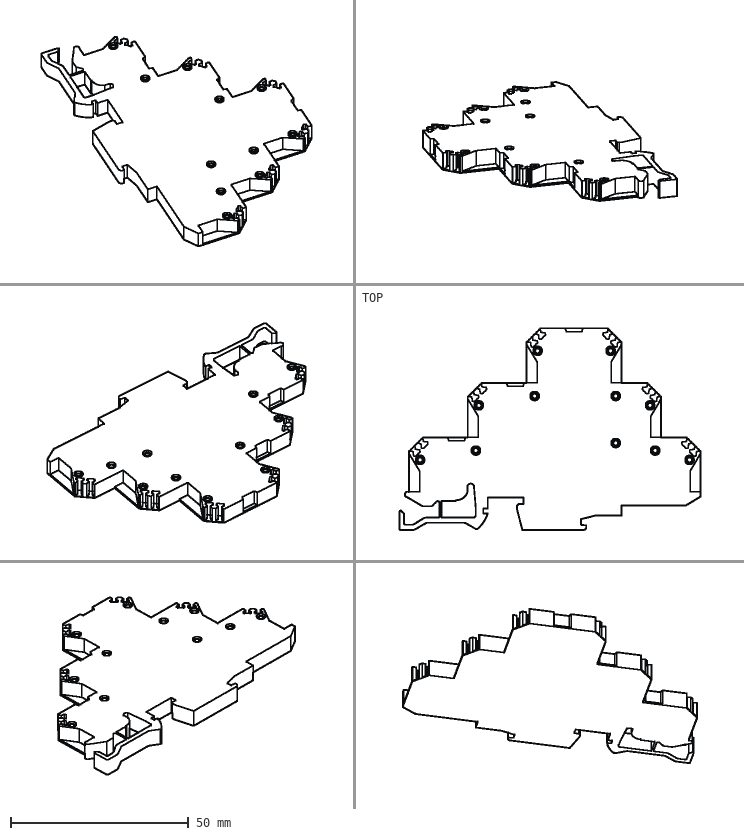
import cadquery as cq

length = 84.8
height = 56.8
thickness = 5.1
floor_z = 0.5
recess_depth = thickness - floor_z

tier_count = 3
tier_rise = 15.35
tier_step_left = 16.5
tier_step_right = 11.1
bottom_tier_left = 2.7
corner_chamfer = 4.0


def tier_left(tier):
    return bottom_tier_left + tier * tier_step_left


def tier_right(tier):
    return length - tier * tier_step_right


def tier_top(tier):
    return height - (tier_count - 1 - tier) * tier_rise


def polygon_prism(points, bottom, depth):
    return cq.Workplane("XY").workplane(offset=bottom).polyline(points).close().extrude(depth)


hook_tip_height = 5.6
hook_inner = 1.35
hook_floor = 1.5
hook_bottom = 2.0
web_bottom = 3.6
lower_toe_bend = (4.15, 0)
lower_arm_bend = (7.6, hook_bottom)
lower_heel_bend = (18.6, hook_bottom)
upper_toe_bend = (3.9, hook_floor)
upper_arm_bend = (7.1, web_bottom)
heel_bottom = 0.25

slot_left = 24.9
slot_right = 34.9
rail_top = 9.2
groove_x = 23.7
groove_bottom = 4.75
groove_top = 6.0
foot_lip_x = 33.1
foot_lip_top = 7.4
foot_lip_chamfer = 0.5

toe_x = 52.7
toe_top = 1.35
toe_groove_x = 51.1
foot_step_x = tier_right(tier_count - 1)
foot_step_y = 4.1
base_y = 6.9
base_chamfer_length = 4.2
base_chamfer_rise = 2.55

nose_y = tier_top(0) - tier_rise
nose_tip = (1.5, 10.1)
nose_bottom = (2.2, 9.25)
chin_y = 6.7
gap_right = 11.3
gap_top = 8.1


def draw_hook_underside(path):
    return (
        path.lineTo(*lower_toe_bend)
        .lineTo(*lower_arm_bend)
        .lineTo(*lower_heel_bend)
        .lineTo(21.5, heel_bottom)
        .lineTo(22.0, heel_bottom)
        .threePointArc((23.7, 2.1), (slot_left, groove_bottom))
    )


def draw_rail_slot(path):
    return (
        path.lineTo(groove_x, groove_bottom)
        .lineTo(groove_x, groove_top)
        .lineTo(slot_left, groove_top)
        .lineTo(slot_left, rail_top)
        .lineTo(slot_right, rail_top)
        .lineTo(slot_right, foot_lip_top)
        .lineTo(foot_lip_x + foot_lip_chamfer, foot_lip_top)
        .lineTo(foot_lip_x, foot_lip_top - foot_lip_chamfer)
        .lineTo(foot_lip_x, 5.9)
        .lineTo(34.6, 0)
    )


def draw_foot_and_base(path):
    return (
        path.lineTo(toe_x, 0)
        .lineTo(toe_x, toe_top)
        .lineTo(toe_groove_x, 1.5)
        .lineTo(toe_groove_x, 3.05)
        .lineTo(55.2, foot_step_y)
        .lineTo(foot_step_x, foot_step_y)
        .lineTo(foot_step_x, base_y)
        .lineTo(length - base_chamfer_length, base_y)
        .lineTo(length, base_y + base_chamfer_rise)
    )


def draw_tiers(path):
    """Up the right-hand steps and down the left-hand ones."""
    for tier in range(tier_count):
        if tier > 0:
            path = path.lineTo(tier_right(tier), tier_top(tier - 1))
        path = path.lineTo(tier_right(tier), tier_top(tier) - corner_chamfer)
        path = path.lineTo(tier_right(tier) - corner_chamfer, tier_top(tier))
    for tier in reversed(range(tier_count)):
        path = path.lineTo(tier_left(tier) + corner_chamfer, tier_top(tier))
        path = path.lineTo(tier_left(tier), tier_top(tier) - corner_chamfer)
        if tier > 0:
            path = path.lineTo(tier_left(tier), tier_top(tier - 1))
    return path


def draw_nose_and_gap(path):
    return (
        path.lineTo(bottom_tier_left, nose_y)
        .threePointArc(nose_tip, nose_bottom)
        .lineTo(6.5, chin_y)
        .lineTo(9.2, chin_y)
        .lineTo(10.4, gap_top - 0.2)
        .threePointArc((10.85, gap_top), (gap_right, gap_top - 0.4))
        .lineTo(gap_right, web_bottom)
        .lineTo(*upper_arm_bend)
        .lineTo(*upper_toe_bend)
        .lineTo(hook_inner, hook_floor)
        .lineTo(hook_inner, 4.7)
        .lineTo(0.3, hook_tip_height)
        .lineTo(0, hook_tip_height - 0.4)
    )


outline = cq.Workplane("XY").moveTo(0, 0)
outline = draw_hook_underside(outline)
outline = draw_rail_slot(outline)
outline = draw_foot_and_base(outline)
outline = draw_tiers(outline)
outline = draw_nose_and_gap(outline)
body = outline.close().extrude(thickness)

rounded_bends = [
    ((0, 0), 0.4),
    (lower_toe_bend, 1.7),
    (lower_arm_bend, 0.85),
    (lower_heel_bend, 1.7),
    ((gap_right, web_bottom), 0.3),
    (upper_arm_bend, 1.7),
    (upper_toe_bend, 1.7),
    ((hook_inner, hook_floor), 0.4),
    ((toe_x, 0), 0.9),
]
for (x, y), radius in rounded_bends:
    corner = cq.selectors.NearestToPointSelector((x, y, thickness / 2))
    body = body.edges("|Z").edges(corner).fillet(radius)

window_left = 11.9
window_right = 21.45
window_roof = 8.1
curve_start = (15.9, 8.4)
finger_left = 19.25
finger_right = 20.95
finger_shoulder = 12.55
finger_top = 13.1
window = (
    cq.Workplane("XY")
    .moveTo(window_left, web_bottom)
    .lineTo(window_right - 0.5, web_bottom)
    .threePointArc((21.3, 3.7), (window_right, web_bottom + 0.5))
    .lineTo(window_right, 6.5)
    .lineTo(finger_right, finger_shoulder)
    .threePointArc(((finger_left + finger_right) / 2, finger_top), (finger_left, finger_shoulder))
    .lineTo(finger_left, 10.85)
    .threePointArc((18.15, 9.2), curve_start)
    .lineTo(curve_start[0], window_roof)
    .lineTo(window_left, window_roof)
    .close()
    .extrude(thickness)
)
body = body.cut(window)

entry_inset = 3.0
entry_edge_drop = 4.5
entry_bend_drop = 9.5


def wire_recess(side_x, inward, top):
    inner_x = side_x + inward * entry_inset
    points = [
        (side_x, top - entry_edge_drop),
        (inner_x, top - entry_bend_drop),
        (inner_x, top - tier_rise),
        (side_x, top - tier_rise),
    ]
    return polygon_prism(points, floor_z, recess_depth)


slot_pitch = 3.1
slot_mouth = 2.1
slot_neck = 0.9
slot_neck_depth = 0.85
slot_belly = 2.4
slot_belly_depth = 1.8
slot_end = 1.8
slot_depth = 2.3
mouth_floor_z = 0.25


def marker_slot():
    """One slot cut toward +X from a chamfer lying on the YZ plane."""
    mouth_side = (
        cq.Workplane("XZ")
        .polyline([
            (0, mouth_floor_z),
            (slot_neck_depth, floor_z),
            (slot_neck_depth, thickness),
            (0, thickness),
        ])
        .close()
        .extrude(slot_mouth / 2, both=True)
    )
    mouth_plan = polygon_prism(
        [
            (0, -slot_mouth / 2),
            (slot_neck_depth, -slot_neck / 2),
            (slot_neck_depth, slot_neck / 2),
            (0, slot_mouth / 2),
        ],
        0,
        thickness,
    )
    pocket = polygon_prism(
        [
            (slot_neck_depth, -slot_neck / 2),
            (slot_belly_depth, -slot_belly / 2),
            (slot_depth, -slot_end / 2),
            (slot_depth, slot_end / 2),
            (slot_belly_depth, slot_belly / 2),
            (slot_neck_depth, slot_neck / 2),
        ],
        floor_z,
        recess_depth,
    )
    return mouth_side.intersect(mouth_plan).union(pocket)


def corner_slots(side_x, inward, top):
    middle = (side_x + inward * corner_chamfer / 2, top - corner_chamfer / 2, 0)
    turn = -45 if inward > 0 else -135
    pair = marker_slot().translate((0, slot_pitch / 2, 0))
    pair = pair.union(marker_slot().translate((0, -slot_pitch / 2, 0)))
    return pair.rotate((0, 0, 0), (0, 0, 1), turn).translate(middle)


notch_offset = 13.4
notch_mouth = 5.0
notch_root = 4.3
notch_depth = 1.0


def label_notch(tier):
    centre = tier_left(tier) + notch_offset
    top = tier_top(tier)
    points = [
        (centre - notch_mouth / 2, top),
        (centre - notch_root / 2, top - notch_depth),
        (centre + notch_root / 2, top - notch_depth),
        (centre + notch_mouth / 2, top),
    ]
    return polygon_prism(points, floor_z, recess_depth)


for tier in range(tier_count):
    top = tier_top(tier)
    for side_x, inward in ((tier_left(tier), 1), (tier_right(tier), -1)):
        body = body.cut(wire_recess(side_x, inward, top))
        body = body.cut(corner_slots(side_x, inward, top))
    body = body.cut(label_notch(tier))

hole_diameter = 1.35
lead_in_diameter = 2.55
seat_diameter = 1.9
lead_in_depth = 0.4
hole_depth = 1.3

side_hole_inset = 3.1
side_hole_drop = 6.4
inner_hole_left_inset = 18.8
inner_hole_right_inset = 12.8
inner_hole_drop = 3.7
lower_hole_y = 24.5

hole_centres = [(tier_right(1) - inner_hole_right_inset, lower_hole_y)]
for tier in range(tier_count):
    side_hole_y = tier_top(tier) - side_hole_drop
    hole_centres.append((tier_left(tier) + side_hole_inset, side_hole_y))
    hole_centres.append((tier_right(tier) - side_hole_inset, side_hole_y))
for tier in range(tier_count - 1):
    inner_hole_y = tier_top(tier) - inner_hole_drop
    hole_centres.append((tier_left(tier) + inner_hole_left_inset, inner_hole_y))
    hole_centres.append((tier_right(tier) - inner_hole_right_inset, inner_hole_y))

screw_hole = (
    cq.Workplane("XZ")
    .polyline([
        (0, thickness),
        (lead_in_diameter / 2, thickness),
        (seat_diameter / 2, thickness - lead_in_depth),
        (hole_diameter / 2, thickness - lead_in_depth),
        (hole_diameter / 2, thickness - hole_depth),
        (0, thickness - hole_depth),
    ])
    .close()
    .revolve(360, (0, 0, 0), (0, 1, 0))
)
for x, y in hole_centres:
    body = body.cut(screw_hole.translate((x, y, 0)))

result = body